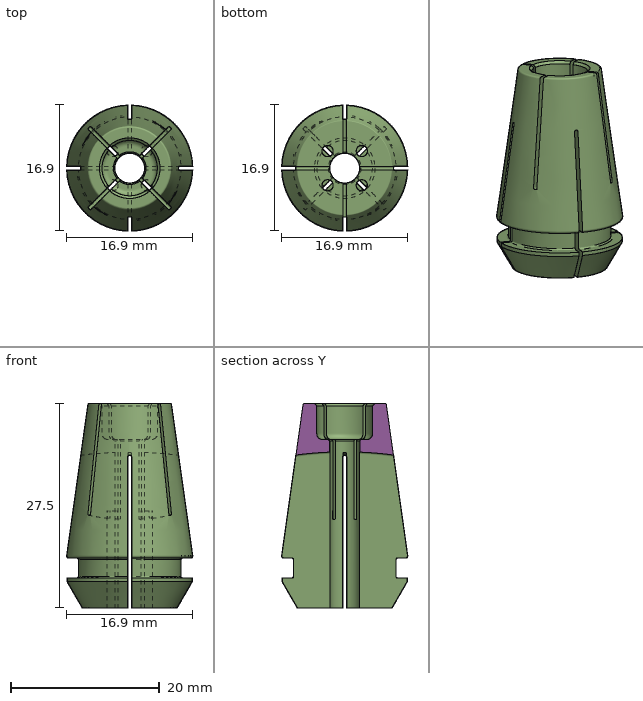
import cadquery as cq
import math

total_height = 27.5
cone_half_angle = math.radians(8)
nose_half_angle = math.radians(30)

rim_radius = 8.42
nose_height = 3.55
rim_top = 4.05
nose_edge_fillet = 0.15

groove_radius = 6.9
groove_top = 6.7
groove_corner_fillet = 0.2

top_radius = 5.6
cone_base_radius = top_radius + (total_height - groove_top) * math.tan(cone_half_angle)
cone_base_fillet = 0.3
cone_top_fillet = 0.25

bore_radius = 2.0
bore_chamfer = 0.2
counterbore_radius = 3.72
counterbore_floor = 22.65
counterbore_corner_fillet = 0.75
counterbore_chamfer = 0.35

slot_width = 0.5
saw_radius = 50.0
lower_slot_peak = 20.95
upper_slot_floor = 11.86
upper_slot_angle = 45

coolant_diameter = 1.5
coolant_circle_radius = 3.25
coolant_depth = 13.0
coolant_hole_count = 4


def circle_edges(solid, radius, z):
    """Select the circular edge centred on the part axis at the given radius and height."""
    tolerance = 0.01
    outer = radius + tolerance
    inner = radius - tolerance
    low = z - tolerance
    high = z + tolerance
    within_outer = cq.selectors.BoxSelector((-outer, -outer, low), (outer, outer, high), boundingbox=True)
    within_inner = cq.selectors.BoxSelector((-inner, -inner, low), (inner, inner, high), boundingbox=True)
    return solid.edges(within_outer - within_inner)


def make_body():
    """Solid of revolution: nose cone, rim, groove and clamping cone."""
    nose_radius = rim_radius - nose_height * math.tan(nose_half_angle)
    body = (
        cq.Workplane("XZ")
        .moveTo(0, 0)
        .lineTo(nose_radius, 0)
        .lineTo(rim_radius, nose_height)
        .lineTo(rim_radius, rim_top)
        .lineTo(groove_radius, rim_top)
        .lineTo(groove_radius, groove_top)
        .lineTo(cone_base_radius, groove_top)
        .lineTo(top_radius, total_height)
        .lineTo(0, total_height)
        .close()
        .revolve(360, (0, 0, 0), (0, 1, 0))
    )
    body = circle_edges(body, nose_radius, 0).fillet(nose_edge_fillet)
    body = circle_edges(body, groove_radius, rim_top).fillet(groove_corner_fillet)
    body = circle_edges(body, groove_radius, groove_top).fillet(groove_corner_fillet)
    body = circle_edges(body, cone_base_radius, groove_top).fillet(cone_base_fillet)
    return circle_edges(body, top_radius, total_height).fillet(cone_top_fillet)


def cut_bore(body):
    """Cut the through bore and the round-cornered counterbore, and chamfer their mouths."""
    counterbore = (
        cq.Workplane("XY", origin=(0, 0, counterbore_floor))
        .circle(counterbore_radius)
        .extrude(total_height - counterbore_floor)
        .faces("<Z")
        .edges()
        .fillet(counterbore_corner_fillet)
    )
    bore = cq.Workplane("XY").circle(bore_radius).extrude(total_height)
    body = body.cut(counterbore).cut(bore)
    body = circle_edges(body, bore_radius, counterbore_floor).chamfer(bore_chamfer)
    return circle_edges(body, counterbore_radius, total_height).chamfer(counterbore_chamfer)


def make_saw(center_height, angle):
    """Round-edged disc standing on the part axis, turned about that axis by the given angle."""
    half_width = slot_width / 2
    flat_radius = saw_radius - half_width
    return (
        cq.Workplane("XY")
        .moveTo(0, -half_width)
        .lineTo(flat_radius, -half_width)
        .threePointArc((saw_radius, 0), (flat_radius, half_width))
        .lineTo(0, half_width)
        .close()
        .revolve(360, (0, 0, 0), (0, 1, 0))
        .rotate((0, 0, 0), (0, 0, 1), angle)
        .translate((0, 0, center_height))
    )


def cut_slots(body):
    """Cut the crossed pair rising from the nose and the diagonal pair sunk from the top."""
    for quarter_turn in (0, 90):
        lower_saw = make_saw(lower_slot_peak - saw_radius, quarter_turn)
        upper_saw = make_saw(upper_slot_floor + saw_radius, upper_slot_angle + quarter_turn)
        body = body.cut(lower_saw).cut(upper_saw)
    return body


def cut_coolant_holes(body):
    """Drill one axial hole from the nose below each half of the upper slots."""
    holes = (
        cq.Workplane("XY")
        .polarArray(coolant_circle_radius, upper_slot_angle, 360, coolant_hole_count)
        .circle(coolant_diameter / 2)
        .extrude(coolant_depth)
    )
    return body.cut(holes)


result = cut_coolant_holes(cut_slots(cut_bore(make_body())))